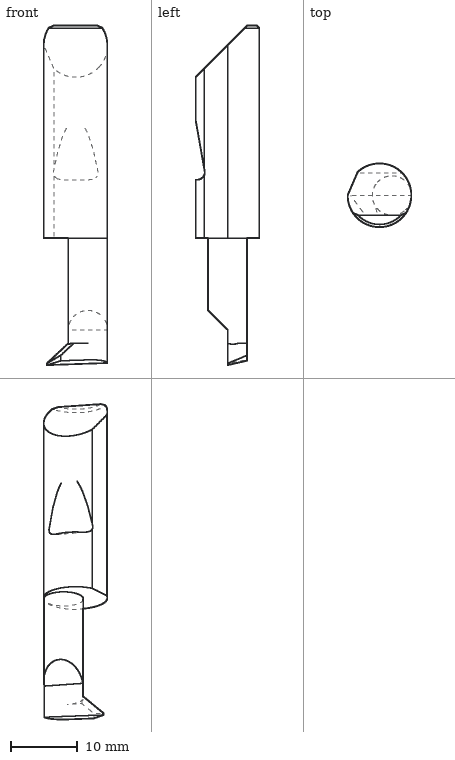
import cadquery as cq
import math

total_length = 50.8
shank_radius = 4.8
shank_bottom = 19.0
top_chamfer = 0.4

top_cut_start_y = -2.95

flat_sweep_angle = 46.5

notch_bottom = 27.75
notch_depth = 1.35
notch_ramp_angle = 10.0
notch_fillet = 1.1

neck_radius = 2.95
neck_x = shank_radius - neck_radius
rake_runout_top = 8.25

tip_x = -4.3
head_front_x = -2.2
head_top = 3.25
back_slope_top_x = neck_x - neck_radius
back_slope_front_shift = 0.8
tip_land = 0.25
end_relief_slope = 0.035
front_relief_slope = 0.2

margin = 2.55


def loft_along_y(profile_at_rake, profile_at_front):
    """Ruled solid between an XZ profile at Y = 0 and one at the neck's -Y side."""
    return (
        cq.Workplane("XZ")
        .polyline(profile_at_rake)
        .close()
        .workplane(offset=neck_radius)
        .polyline(profile_at_front)
        .close()
        .loft(ruled=True)
    )


def extrude_across_x(profile):
    """Extrude a YZ profile wider than the shank, centred on X = 0."""
    return profile.extrude(shank_radius + margin, both=True)


def make_shank():
    shank = (
        cq.Workplane("XY", origin=(0, 0, shank_bottom))
        .circle(shank_radius)
        .extrude(total_length - shank_bottom)
        .faces(">Z")
        .chamfer(top_chamfer)
    )

    cut_end_y = shank_radius + margin
    top_cut = cq.Workplane("YZ").polyline([
        (top_cut_start_y, total_length),
        (cut_end_y, total_length - (cut_end_y - top_cut_start_y)),
        (cut_end_y, total_length),
    ]).close()

    sweep = math.radians(flat_sweep_angle)
    flat_end = (-shank_radius * math.cos(sweep), shank_radius * math.sin(sweep))
    side_flat = (
        cq.Workplane("XY")
        .polyline([(-shank_radius, 0), flat_end, (-shank_radius, flat_end[1])])
        .close()
        .extrude(total_length)
    )

    floor_y = shank_radius - notch_depth
    ramp_start_z = notch_bottom + notch_fillet
    ramp_slope = math.tan(math.radians(notch_ramp_angle))
    outer_y = shank_radius + margin
    bend = notch_fillet * math.sqrt(0.5)
    notch = (
        cq.Workplane("YZ")
        .moveTo(outer_y, notch_bottom)
        .lineTo(floor_y + notch_fillet, notch_bottom)
        .threePointArc(
            (floor_y + notch_fillet - bend, ramp_start_z - bend),
            (floor_y, ramp_start_z),
        )
        .lineTo(outer_y, ramp_start_z + (outer_y - floor_y) / ramp_slope)
        .close()
    )
    return shank.cut(extrude_across_x(top_cut)).cut(side_flat).cut(extrude_across_x(notch))


def make_neck():
    neck = cq.Workplane("XY").center(neck_x, 0).circle(neck_radius).extrude(shank_bottom)
    outer_y = neck_radius + margin
    rake_cut = cq.Workplane("YZ").polyline([
        (0, 0),
        (0, rake_runout_top - neck_radius),
        (outer_y, rake_runout_top + margin),
        (outer_y, 0),
    ]).close()
    return neck.cut(extrude_across_x(rake_cut))


def make_head():
    plan = (
        cq.Workplane("XY")
        .polyline([
            (tip_x, 0),
            (head_front_x, -neck_radius),
            (neck_x, -neck_radius),
            (neck_x, 0),
        ])
        .close()
        .extrude(head_top)
    )
    back_slope = (head_top - tip_land) / (back_slope_top_x - tip_x)
    start_x = tip_x - tip_land / back_slope

    def slope_profile(shift):
        return [
            (start_x + shift, 0),
            (back_slope_top_x + shift, head_top),
            (neck_x, head_top),
            (neck_x, 0),
        ]

    return plan.intersect(loft_along_y(slope_profile(0), slope_profile(back_slope_front_shift)))


def make_bottom_relief():
    """Wedge under the head, leaving the tip as the lowest point."""
    end_rise = end_relief_slope * (shank_radius - tip_x)
    front_rise = front_relief_slope * neck_radius

    def relief_profile(rise):
        return [
            (tip_x, -margin),
            (tip_x, rise),
            (shank_radius, end_rise + rise),
            (shank_radius, -margin),
        ]

    return loft_along_y(relief_profile(0), relief_profile(front_rise))


result = make_shank().union(make_neck()).union(make_head()).cut(make_bottom_relief())